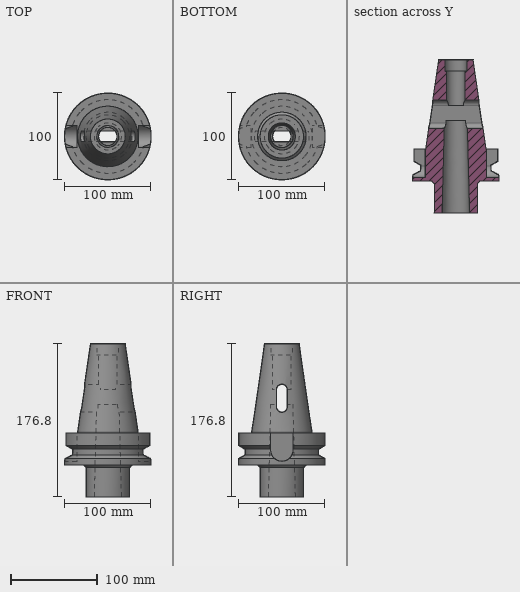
import cadquery as cq
import math


GAUGE_DIAMETER = 69.85
TAPER_LENGTH = 101.8
TAPER_RATIO = 7 / 24
SMALL_END_DIAMETER = GAUGE_DIAMETER - TAPER_LENGTH * TAPER_RATIO

FLANGE_DIAMETER = 100
FLANGE_TOP_DEPTH = 1.0
FLANGE_BOTTOM_DEPTH = 38
GROOVE_DIAMETER = 85
GROOVE_CENTER_DEPTH = 23
GROOVE_FLOOR_WIDTH = 6.5
GROOVE_FLANK_ANGLE = 30
GROOVE_FLANK_HEIGHT = (FLANGE_DIAMETER - GROOVE_DIAMETER) / 2 * math.tan(math.radians(GROOVE_FLANK_ANGLE))

NOSE_DIAMETER = 50
NOSE_END_DEPTH = 75
NOSE_COLLAR_SIZE = 3

KEYWAY_WIDTH = 25.7
KEYWAY_FLOOR_OFFSET = 35.4
KEYWAY_BOTTOM_DEPTH = 33.6

PULL_STUD_BORE_DIAMETER = 25
PULL_STUD_BORE_DEPTH = 13
CORE_BORE_DIAMETER = 21

SOCKET_MOUTH_DIAMETER = 31.267
SOCKET_DEPTH = 107
SOCKET_TAPER_RATIO = 1 / 19.254
SOCKET_END_DIAMETER = SOCKET_MOUTH_DIAMETER - SOCKET_DEPTH * SOCKET_TAPER_RATIO
DRIFT_SLOT_WIDTH = 12.2
DRIFT_SLOT_LENGTH = 32
DRIFT_SLOT_START = 98


def revolve_about_axis(points):
    """Revolve a closed (radius, height) profile about Z."""
    profile = cq.Workplane("XZ").polyline(points).close()
    return profile.revolve(360, (0, 0, 0), (0, 1, 0))


def make_body():
    gauge_radius = GAUGE_DIAMETER / 2
    flange_radius = FLANGE_DIAMETER / 2
    groove_radius = GROOVE_DIAMETER / 2
    nose_radius = NOSE_DIAMETER / 2
    floor_top = -GROOVE_CENTER_DEPTH + GROOVE_FLOOR_WIDTH / 2
    floor_bottom = -GROOVE_CENTER_DEPTH - GROOVE_FLOOR_WIDTH / 2
    return revolve_about_axis([
        (0, TAPER_LENGTH),
        (SMALL_END_DIAMETER / 2, TAPER_LENGTH),
        (gauge_radius, 0),
        (gauge_radius, -FLANGE_TOP_DEPTH),
        (flange_radius, -FLANGE_TOP_DEPTH),
        (flange_radius, floor_top + GROOVE_FLANK_HEIGHT),
        (groove_radius, floor_top),
        (groove_radius, floor_bottom),
        (flange_radius, floor_bottom - GROOVE_FLANK_HEIGHT),
        (flange_radius, -FLANGE_BOTTOM_DEPTH),
        (nose_radius + NOSE_COLLAR_SIZE, -FLANGE_BOTTOM_DEPTH),
        (nose_radius, -FLANGE_BOTTOM_DEPTH - NOSE_COLLAR_SIZE),
        (nose_radius, -NOSE_END_DEPTH),
        (0, -NOSE_END_DEPTH),
    ])


def make_keyway(side):
    """Round-bottomed keyway, open at the top; side is +1 for +X and -1 for -X."""
    half_width = KEYWAY_WIDTH / 2
    arc_center_height = -KEYWAY_BOTTOM_DEPTH + half_width
    outline = (
        cq.Workplane("YZ", origin=(side * KEYWAY_FLOOR_OFFSET, 0, 0))
        .moveTo(-half_width, 0)
        .lineTo(-half_width, arc_center_height)
        .threePointArc((0, -KEYWAY_BOTTOM_DEPTH), (half_width, arc_center_height))
        .lineTo(half_width, 0)
        .close()
    )
    return outline.extrude(side * FLANGE_DIAMETER / 2)


def make_drift_slot():
    center_height = -NOSE_END_DEPTH + DRIFT_SLOT_START + DRIFT_SLOT_LENGTH / 2
    slot = cq.Workplane("YZ", origin=(0, 0, center_height)).slot2D(DRIFT_SLOT_LENGTH, DRIFT_SLOT_WIDTH, 90)
    return slot.extrude(GAUGE_DIAMETER / 2, both=True)


def make_small_end_bores():
    """Stepped bore that ends where the rounded top of the drift slot begins."""
    slot_top = -NOSE_END_DEPTH + DRIFT_SLOT_START + DRIFT_SLOT_LENGTH
    bore_bottom = slot_top - DRIFT_SLOT_WIDTH / 2
    ledge_height = TAPER_LENGTH - PULL_STUD_BORE_DEPTH
    return revolve_about_axis([
        (0, TAPER_LENGTH),
        (PULL_STUD_BORE_DIAMETER / 2, TAPER_LENGTH),
        (PULL_STUD_BORE_DIAMETER / 2, ledge_height),
        (CORE_BORE_DIAMETER / 2, ledge_height),
        (CORE_BORE_DIAMETER / 2, bore_bottom),
        (0, bore_bottom),
    ])


def make_socket():
    return revolve_about_axis([
        (0, -NOSE_END_DEPTH),
        (SOCKET_MOUTH_DIAMETER / 2, -NOSE_END_DEPTH),
        (SOCKET_END_DIAMETER / 2, -NOSE_END_DEPTH + SOCKET_DEPTH),
        (0, -NOSE_END_DEPTH + SOCKET_DEPTH),
    ])


result = make_body()
for keyway_side in (1, -1):
    result = result.cut(make_keyway(keyway_side))
result = result.cut(make_small_end_bores()).cut(make_socket()).cut(make_drift_slot())